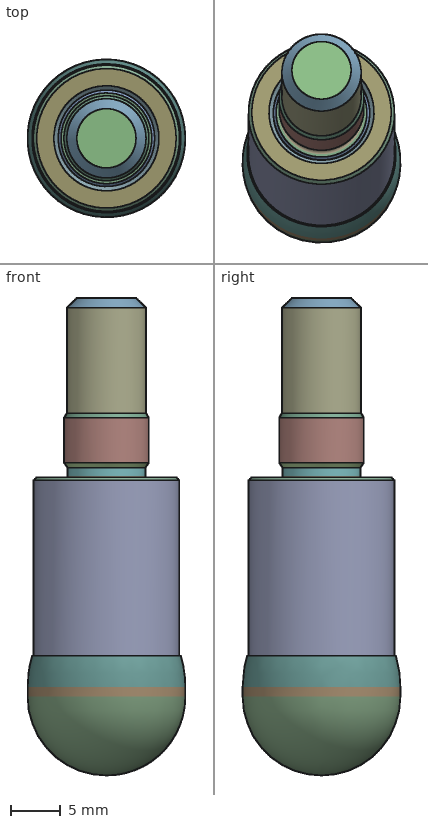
import cadquery as cq
import math

TOTAL_HEIGHT = 48
HOUSING_TOP = 30.0

BALL_DIAMETER = 15.9
BALL_RADIUS = BALL_DIAMETER / 2
BALL_BAND_HEIGHT = 0.95
SHOULDER_HEIGHT = 12.05
SHOULDER_RADIUS = 7.5
HOUSING_RADIUS = 7.35
HOUSING_CHAMFER = 0.35

SOCKET_RADIUS = 4.85
SOCKET_DEPTH = 10.0
COUNTERSINK_WIDTH = 0.45
COUNTERSINK_DEPTH = 0.3

STUD_RADIUS = 4.0
TIP_RADIUS = 3.0
TIP_CHAMFER_HEIGHT = 0.95
COLLAR_RADIUS = 4.25
COLLAR_TOP = 35.95
COLLAR_BOTTOM = 31.45
COLLAR_CHAMFER_HEIGHT = 0.5
NECK_RADIUS = 3.95
NECK_FILLET = 0.35
ROOT_DEPTH = 0.25
ROOT_CHAMFER = 0.3


def revolve_about_z(profile):
    """Close a half profile drawn in the XZ plane and spin it about Z."""
    return profile.close().revolve(360, (0, 0, 0), (0, 1, 0))


def make_housing():
    band_top = BALL_RADIUS + BALL_BAND_HEIGHT
    ball_arc_mid = BALL_RADIUS * math.sqrt(0.5)

    rise = SHOULDER_HEIGHT - band_top
    inset = BALL_RADIUS - SHOULDER_RADIUS
    upper_radius = (rise**2 + inset**2) / (2 * inset)
    half_angle = math.asin(rise / upper_radius) / 2
    upper_mid = (
        BALL_RADIUS - upper_radius * (1 - math.cos(half_angle)),
        band_top + upper_radius * math.sin(half_angle),
    )

    socket_floor = HOUSING_TOP - SOCKET_DEPTH
    profile = (
        cq.Workplane("XZ")
        .moveTo(0, 0)
        .threePointArc((ball_arc_mid, BALL_RADIUS - ball_arc_mid), (BALL_RADIUS, BALL_RADIUS))
        .lineTo(BALL_RADIUS, band_top)
        .threePointArc(upper_mid, (SHOULDER_RADIUS, SHOULDER_HEIGHT))
        .lineTo(HOUSING_RADIUS, SHOULDER_HEIGHT)
        .lineTo(HOUSING_RADIUS, HOUSING_TOP - HOUSING_CHAMFER)
        .lineTo(HOUSING_RADIUS - HOUSING_CHAMFER, HOUSING_TOP)
        .lineTo(SOCKET_RADIUS + COUNTERSINK_WIDTH, HOUSING_TOP)
        .lineTo(SOCKET_RADIUS, HOUSING_TOP - COUNTERSINK_DEPTH)
        .lineTo(SOCKET_RADIUS, socket_floor)
        .lineTo(0, socket_floor)
    )
    return revolve_about_z(profile)


def make_stud():
    root_top = HOUSING_TOP - ROOT_DEPTH
    fillet_mid = NECK_FILLET * (1 - math.sqrt(0.5))
    stud_floor = HOUSING_TOP - SOCKET_DEPTH
    profile = (
        cq.Workplane("XZ")
        .moveTo(0, stud_floor)
        .lineTo(SOCKET_RADIUS, stud_floor)
        .lineTo(SOCKET_RADIUS, root_top - ROOT_CHAMFER)
        .lineTo(SOCKET_RADIUS - ROOT_CHAMFER, root_top)
        .lineTo(NECK_RADIUS + NECK_FILLET, root_top)
        .threePointArc(
            (NECK_RADIUS + fillet_mid, root_top + fillet_mid),
            (NECK_RADIUS, root_top + NECK_FILLET),
        )
        .lineTo(NECK_RADIUS, COLLAR_BOTTOM - COLLAR_CHAMFER_HEIGHT)
        .lineTo(COLLAR_RADIUS, COLLAR_BOTTOM)
        .lineTo(COLLAR_RADIUS, COLLAR_TOP)
        .lineTo(STUD_RADIUS, COLLAR_TOP + COLLAR_CHAMFER_HEIGHT)
        .lineTo(STUD_RADIUS, TOTAL_HEIGHT - TIP_CHAMFER_HEIGHT)
        .lineTo(TIP_RADIUS, TOTAL_HEIGHT)
        .lineTo(0, TOTAL_HEIGHT)
    )
    return revolve_about_z(profile)


housing = make_housing()
stud = make_stud()

result = cq.Compound.makeCompound([housing.val(), stud.val()])